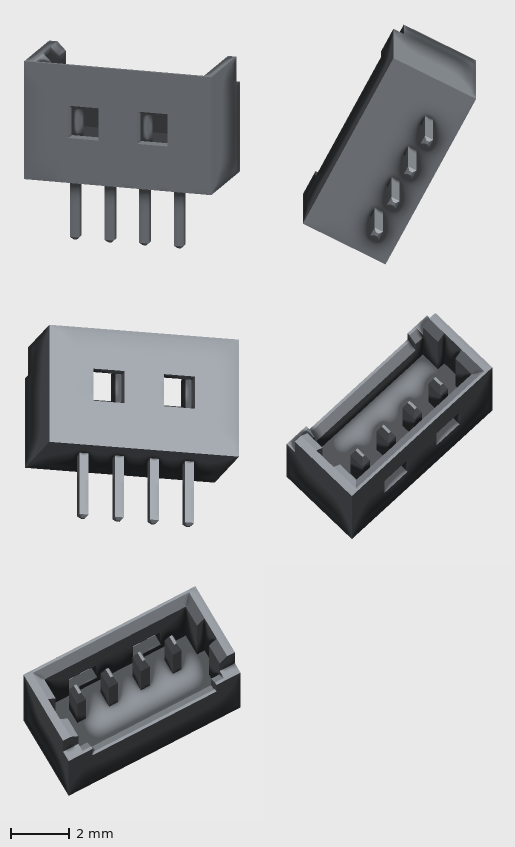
import cadquery as cq

length = 6.75
depth = 3.2
height = 4.2
front_y = -1.125
back_y = front_y + depth
half_length = length / 2

side_wall = 0.6
front_wall = 0.4
back_wall = 0.4
floor_z = 1.25
lead_in = 0.3

step_z = 3.2
notch_z = 2.6
notch_length = 4.86

groove_width = 0.85
groove_depth = 0.3
groove_y = 0.5

window_width = 1.1
window_bottom = 1.6
window_top = 2.75

pin_count = 4
pitch = 1.25
pin_width = 0.32
tail_length = 2.3
tail_chamfer = 0.1
blade_width = 0.35
blade_depth = 0.6
blade_top = 3.5
blade_taper_height = 0.5
blade_taper_inset = 0.125

cavity_half_length = half_length - side_wall
cavity_front = front_y + front_wall
cavity_back = back_y - back_wall


def block(x_range, y_range, z_range):
    """Box between two limits along each axis."""
    (x0, x1), (y0, y1), (z0, z1) = x_range, y_range, z_range
    return cq.Workplane("XY").box(x1 - x0, y1 - y0, z1 - z0, centered=False).translate((x0, y0, z0))


def frustum(y_center, z_start, z_end, start_size, end_size):
    """Rectangular solid, centred on X = 0, that changes size from one level to another."""
    return (
        cq.Workplane("XY", origin=(0, y_center, z_start))
        .rect(*start_size)
        .workplane(offset=z_end - z_start)
        .rect(*end_size)
        .loft(ruled=True)
    )


def lead_in_cut(rim_z):
    """Flared cavity mouth that reaches its full width at the given rim height."""
    size = (2 * cavity_half_length, cavity_back - cavity_front)
    mouth = (size[0] + 2 * lead_in, size[1] + 2 * lead_in)
    y_center = (cavity_front + cavity_back) / 2
    return frustum(y_center, rim_z - lead_in, rim_z, size, mouth)


def back_wall_lead_in(half_span, rim_z):
    """Wedge that bevels the inner edge of the back wall below the given rim height."""
    return (
        cq.Workplane("YZ", origin=(-half_span, 0, 0))
        .polyline([(cavity_back, rim_z - lead_in), (cavity_back + lead_in, rim_z), (cavity_back, rim_z)])
        .close()
        .extrude(2 * half_span)
    )


def make_housing():
    x_limits = (-half_length, half_length)
    cavity_x = (-cavity_half_length, cavity_half_length)
    notch_x = (-notch_length / 2, notch_length / 2)

    housing = block(x_limits, (front_y, back_y), (0, height))
    housing = housing.cut(block(cavity_x, (cavity_front, cavity_back), (floor_z, height)))
    housing = housing.cut(lead_in_cut(height))

    housing = housing.cut(block(x_limits, (cavity_back, back_y), (step_z, height)))
    housing = housing.cut(back_wall_lead_in(cavity_half_length, step_z))
    housing = housing.cut(block(notch_x, (cavity_back, back_y), (notch_z, height)))
    housing = housing.cut(back_wall_lead_in(notch_length / 2, notch_z))

    groove_half_length = cavity_half_length + groove_depth
    groove_y_limits = (groove_y - groove_width / 2, groove_y + groove_width / 2)
    housing = housing.cut(
        block((-groove_half_length, groove_half_length), groove_y_limits, (floor_z, height))
    )

    for window_x in (-pitch, pitch):
        window_limits = (window_x - window_width / 2, window_x + window_width / 2)
        housing = housing.cut(block(window_limits, (front_y, cavity_front), (window_bottom, window_top)))
    return housing


def make_pin():
    tail = (pin_width, pin_width)
    tail_end = (pin_width - 2 * tail_chamfer, pin_width - 2 * tail_chamfer)
    blade = (blade_width, blade_depth)
    blade_end = (blade_width - 2 * blade_taper_inset, blade_depth - 2 * blade_taper_inset)
    taper_z = blade_top - blade_taper_height
    chamfer_z = tail_chamfer - tail_length
    blade_root_z = floor_z / 2

    pin = frustum(0, -tail_length, chamfer_z, tail_end, tail)
    pin = pin.union(frustum(0, chamfer_z, blade_root_z, tail, tail))
    pin = pin.union(frustum(0, blade_root_z, taper_z, blade, blade))
    return pin.union(frustum(0, taper_z, blade_top, blade, blade_end))


result = make_housing()
for index in range(pin_count):
    pin_x = (index - (pin_count - 1) / 2) * pitch
    result = result.union(make_pin().translate((pin_x, 0, 0)))